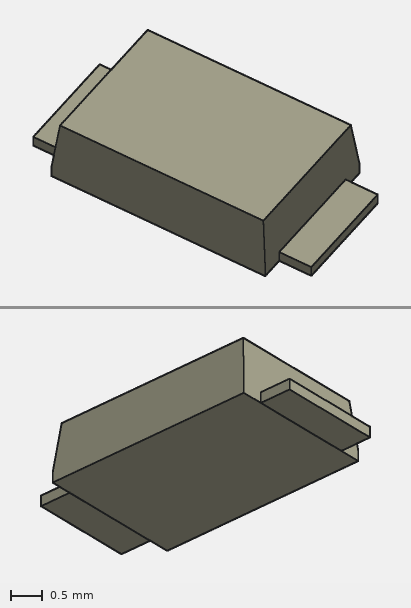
import cadquery as cq

OVERALL_LENGTH = 5.2

HOUSING_LENGTH = 4.0
HOUSING_WIDTH = 2.7
HOUSING_HEIGHT = 1.1
TOP_INSET = 0.1

LEAD_WIDTH = 1.9
LEAD_THICKNESS = 0.2
LEAD_LENGTH = (OVERALL_LENGTH - HOUSING_LENGTH) / 2


def make_housing():
    """Rectangular base band with a tapered upper part, standing on Z = 0."""
    band = cq.Workplane("XY").box(
        HOUSING_LENGTH, HOUSING_WIDTH, LEAD_THICKNESS, centered=(True, True, False)
    )
    return (
        band.faces(">Z")
        .workplane()
        .rect(HOUSING_LENGTH, HOUSING_WIDTH)
        .workplane(offset=HOUSING_HEIGHT - LEAD_THICKNESS)
        .rect(HOUSING_LENGTH - 2 * TOP_INSET, HOUSING_WIDTH - 2 * TOP_INSET)
        .loft(ruled=True)
    )


def make_lead(side):
    """Flat lead against the end of the housing; side is -1 or +1 along X."""
    center_x = side * (HOUSING_LENGTH + LEAD_LENGTH) / 2
    return (
        cq.Workplane("XY")
        .center(center_x, 0)
        .box(LEAD_LENGTH, LEAD_WIDTH, LEAD_THICKNESS, centered=(True, True, False))
    )


housing = make_housing()
leads = [make_lead(side) for side in (-1, 1)]

result = cq.Compound.makeCompound([housing.val(), *[lead.val() for lead in leads]])